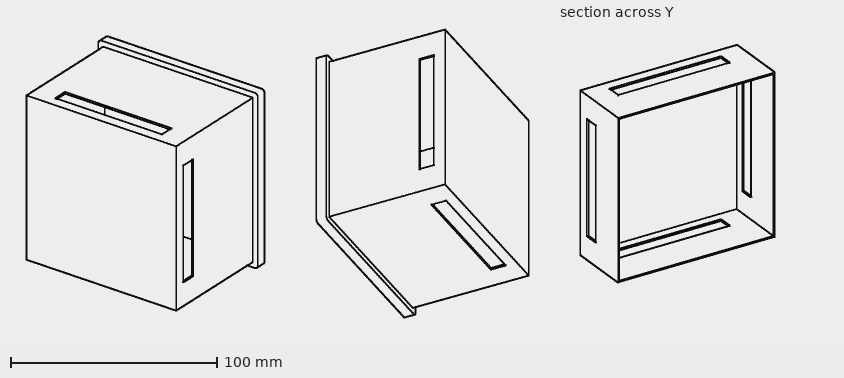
import cadquery as cq

flange_side = 96.0
flange_thickness = 5.5
flange_corner_radius = 2.0
body_side = 90.0
body_depth = 63.0
wall = 1.0
slot_length = 64.0
slot_width = 8.0
slot_setback = 6.0

cavity_side = body_side - 2 * wall
cavity_depth = body_depth - wall


def block(size_x, size_y, size_z, start_y=0.0):
    """Box centred on X and Z that runs in +Y from start_y."""
    box = cq.Workplane("XY").box(size_x, size_y, size_z, centered=(True, False, True))
    return box.translate((0, start_y, 0))


def make_flange():
    """Square plate with rounded corners behind the body."""
    plate = block(flange_side, flange_thickness, flange_side, body_depth)
    return plate.edges("|Y").fillet(flange_corner_radius)


def make_housing():
    """Closed thin-walled square box joined to the flange."""
    body = block(body_side, body_depth, body_side)
    cavity = block(cavity_side, cavity_depth, cavity_side, wall)
    return body.union(make_flange()).cut(cavity)


def cut_slots(housing):
    """Cut one slot through each of the four side walls, near the front face."""
    top_and_bottom = block(slot_length, slot_width, body_side, slot_setback)
    left_and_right = block(body_side, slot_width, slot_length, slot_setback)
    return housing.cut(top_and_bottom).cut(left_and_right)


result = cut_slots(make_housing())